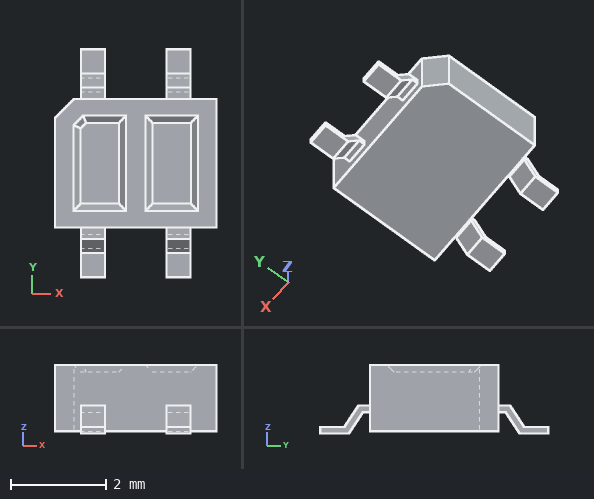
import cadquery as cq
import math

body_length = 3.4
body_width = 2.705
body_height = 1.4
corner_cut = 0.405
standoff = 0.05
body_top = standoff + body_height

pocket_length = 1.105
pocket_width = 1.995
pocket_spacing = 1.51
pocket_depth = 0.15
pocket_inset = 0.15
pocket_corner_cut = 0.2
pocket_taper = math.degrees(math.atan2(pocket_inset, pocket_depth))

span = 4.8
lead_width = 0.51
lead_spacing = 1.8
lead_thickness = 0.145
lead_height = 0.595
foot_length = 0.51
slope_run = 0.3
bend_shift = 0.095
lead_embed = 0.095


def cut_corner_rectangle(length, width, cut):
    """Corner points of a centred rectangle whose -X, +Y corner is cut at 45 degrees."""
    x = length / 2
    y = width / 2
    return [(-x, -y), (x, -y), (x, y), (-x + cut, y), (-x, y - cut)]


def make_body():
    outline = cut_corner_rectangle(body_length, body_width, corner_cut)
    return cq.Workplane("XY").workplane(offset=standoff).polyline(outline).close().extrude(body_height)


def make_pocket(x, has_corner_cut):
    sketch = cq.Workplane("XY", origin=(x, 0, body_top))
    if has_corner_cut:
        outline = cut_corner_rectangle(pocket_length, pocket_width, pocket_corner_cut)
        sketch = sketch.polyline(outline).close()
    else:
        sketch = sketch.rect(pocket_length, pocket_width)
    return sketch.extrude(-pocket_depth, taper=pocket_taper)


def make_lead(x, side):
    """One lead centred on x, leaving the +Y (side = 1) or -Y (side = -1) face."""
    tip = span / 2
    inner = body_width / 2 - lead_embed
    foot_bend = tip - foot_length
    shoulder_bend = foot_bend - slope_run
    profile = [
        (tip, 0),
        (tip, lead_thickness),
        (foot_bend, lead_thickness),
        (shoulder_bend, lead_height),
        (inner, lead_height),
        (inner, lead_height - lead_thickness),
        (shoulder_bend - bend_shift, lead_height - lead_thickness),
        (foot_bend - bend_shift, 0),
    ]
    points = [(side * y, z) for y, z in profile]
    return cq.Workplane("YZ", origin=(x, 0, 0)).polyline(points).close().extrude(lead_width / 2, both=True)


result = make_body()
result = result.cut(make_pocket(-pocket_spacing / 2, True))
result = result.cut(make_pocket(pocket_spacing / 2, False))
for lead_x in (-lead_spacing / 2, lead_spacing / 2):
    for lead_side in (-1, 1):
        result = result.union(make_lead(lead_x, lead_side))